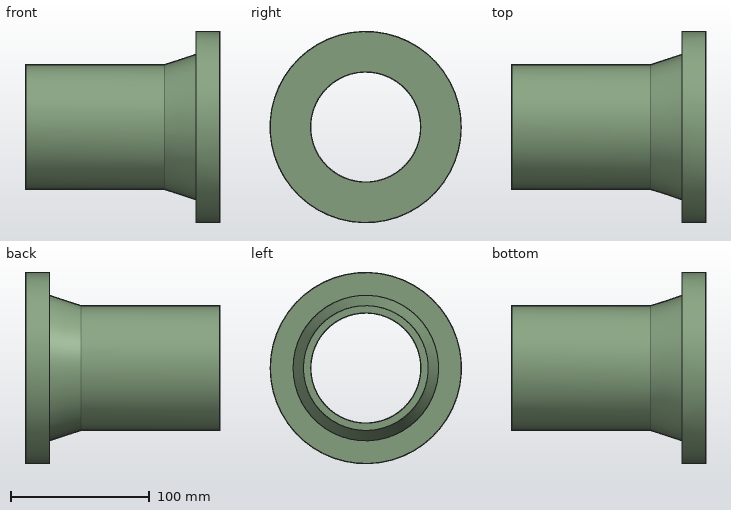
import cadquery as cq

total_length = 140.0
flange_thickness = 17.2
neck_length = 22.8

bore_diameter = 79.2
pipe_diameter = 90.0
neck_diameter = 105.0
flange_diameter = 138.0

flange_start = total_length - flange_thickness
neck_start = flange_start - neck_length

half_section = (
    cq.Workplane("XY")
    .moveTo(0, bore_diameter / 2)
    .lineTo(0, pipe_diameter / 2)
    .lineTo(neck_start, pipe_diameter / 2)
    .lineTo(flange_start, neck_diameter / 2)
    .lineTo(flange_start, flange_diameter / 2)
    .lineTo(total_length, flange_diameter / 2)
    .lineTo(total_length, bore_diameter / 2)
    .close()
)

result = half_section.revolve(360, (0, 0, 0), (1, 0, 0))